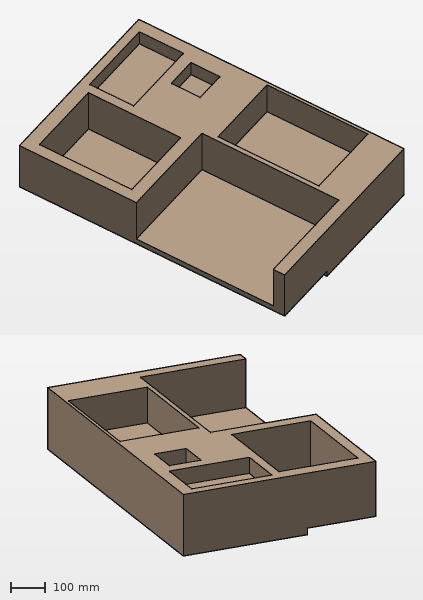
import cadquery as cq

LENGTH = 920.0
WIDTH = 610.0
HEIGHT = 190.0

STEP_HEIGHT = 20.0
REAR_FOOT_WIDTH = 394.0

BAY_LENGTH = 475.0
BAY_WIDTH = 335.0
RIGHT_WALL = 40.0
DEEP_DEPTH = 150.0

SHALLOW_DEPTH = 50.0
POCKET_WIDTH = 250.0

FRONT_LENGTH = 320.0
FRONT_X = 45.0
FRONT_Y = 36.0

REAR_LENGTH = 350.0
REAR_DEPTH = 110.0
REAR_X = 452.0
REAR_WALL = 10.0

TRAY_LENGTH = 153.0
TRAY_WIDTH = 254.0
TRAY_X = 29.0
TRAY_Y = 316.0

SQUARE_SIDE = 100.0
SQUARE_X = 221.0
SQUARE_REAR_WALL = 59.0


def box_at(x, y, z, length, width, height):
    """Box whose lower front left corner is at (x, y, z)."""
    return cq.Workplane("XY").box(length, width, height, centered=False).translate((x, y, z))


def recess(x, y, length, width, depth):
    """Cutter that reaches down from the top face by the given depth."""
    return box_at(x, y, HEIGHT - depth, length, width, depth)


body = box_at(0, 0, 0, LENGTH, WIDTH, HEIGHT)

body = body.cut(box_at(0, 0, 0, LENGTH, WIDTH - REAR_FOOT_WIDTH, STEP_HEIGHT))

bay_x = LENGTH - RIGHT_WALL - BAY_LENGTH
body = body.cut(recess(bay_x, 0, BAY_LENGTH, BAY_WIDTH, DEEP_DEPTH))

rear_y = WIDTH - REAR_WALL - POCKET_WIDTH
square_y = WIDTH - SQUARE_REAR_WALL - SQUARE_SIDE
pockets = [
    (FRONT_X, FRONT_Y, FRONT_LENGTH, POCKET_WIDTH, DEEP_DEPTH),
    (REAR_X, rear_y, REAR_LENGTH, POCKET_WIDTH, REAR_DEPTH),
    (TRAY_X, TRAY_Y, TRAY_LENGTH, TRAY_WIDTH, SHALLOW_DEPTH),
    (SQUARE_X, square_y, SQUARE_SIDE, SQUARE_SIDE, SHALLOW_DEPTH),
]
for pocket in pockets:
    body = body.cut(recess(*pocket))

result = body